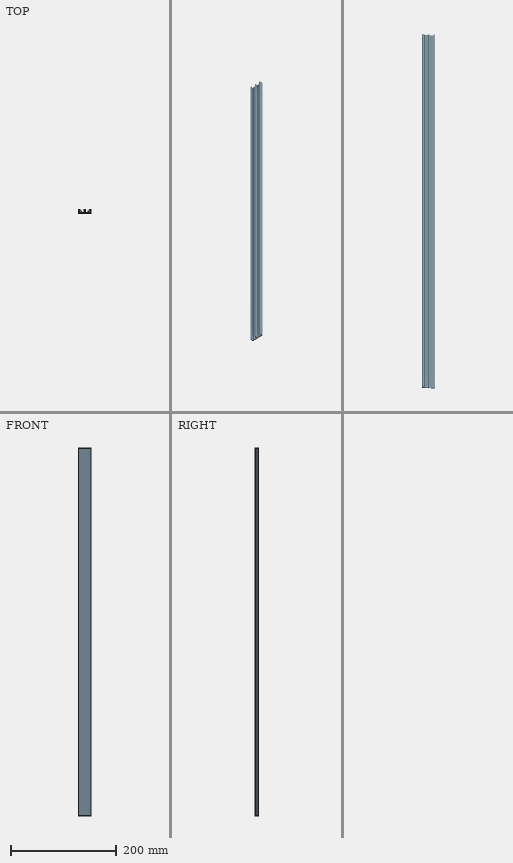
import cadquery as cq

WIDTH = 24.15
HEIGHT = 7.32
LENGTH = 700.0

FLOOR_THICKNESS = 2.05

CENTER_RIB_WIDTH = 2.08
INNER_RIB_OFFSET = 5.72
INNER_RIB_WIDTH = 1.6
INNER_RIB_HEIGHT = 4.5

WALL_THICKNESS = 1.85
HEAD_OVERHANG = 0.9
HEAD_DEPTH = 1.65

HALF_WIDTH = WIDTH / 2


def bar(x_min, x_max, y_min, y_max):
    """Rectangular bar running the full length of the profile."""
    blank = cq.Workplane("XY").box(x_max - x_min, y_max - y_min, LENGTH, centered=False)
    return blank.translate((x_min, y_min, 0))


def floor_with_center_rib():
    """Floor plate with the full-height rib on the centre plane."""
    floor = bar(-HALF_WIDTH, HALF_WIDTH, 0, FLOOR_THICKNESS)
    half_rib = CENTER_RIB_WIDTH / 2
    return floor.union(bar(-half_rib, half_rib, 0, HEIGHT))


def inner_rib():
    """Low rib between the centre rib and the +X wall."""
    return bar(INNER_RIB_OFFSET, INNER_RIB_OFFSET + INNER_RIB_WIDTH, 0, INNER_RIB_HEIGHT)


def hooked_wall():
    """Side wall at +X with its inward head."""
    wall_face = HALF_WIDTH - WALL_THICKNESS
    wall = bar(wall_face, HALF_WIDTH, 0, HEIGHT)
    head = bar(wall_face - HEAD_OVERHANG, HALF_WIDTH, HEIGHT - HEAD_DEPTH, HEIGHT)
    return wall.union(head)


result = floor_with_center_rib()
for feature in (inner_rib(), hooked_wall()):
    result = result.union(feature).union(feature.mirror("YZ"))